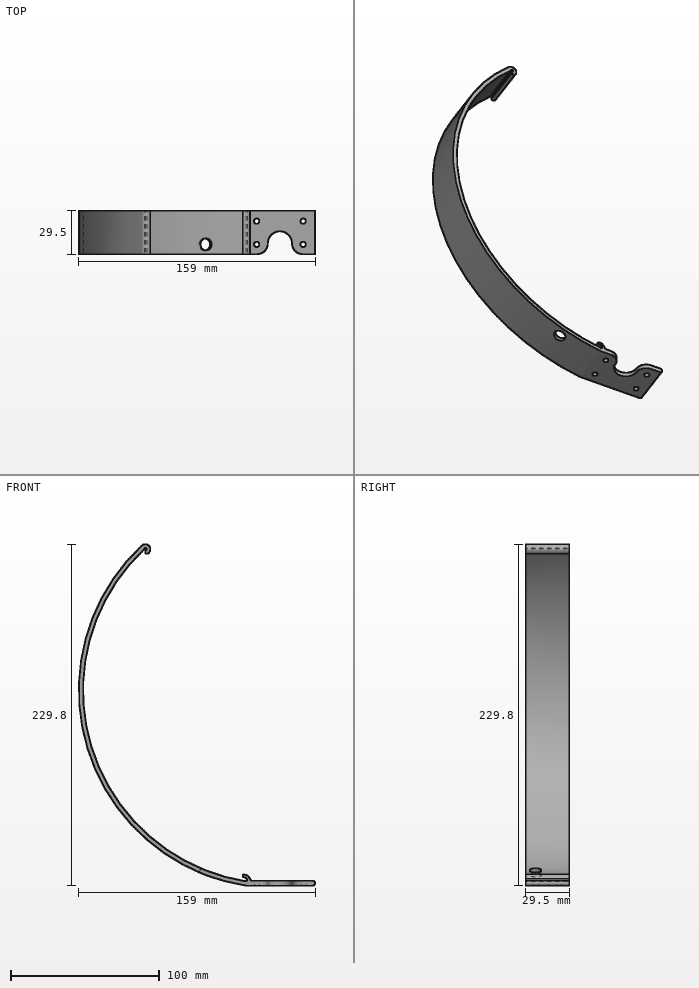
import cadquery as cq
import math

length = 159.0
width = 29.5
height = 229.8

bow_radius = 133.0
bow_center_x = bow_radius
bow_center_z = 131.5
strip_thickness = 3.0
strip_hole_diameter = 8.0
strip_hole_x = 84.5

plate_thickness = 3.5
plate_end_fillet = 1.5
plate_hole_diameter = 3.5
hole_inset = 6.7
hole_spacing_x = 31.2
hole_spacing_y = 15.6
first_hole_x = 119.7
notch_radius = 8.0
notch_corner_radius = 7.4

top_hook_thickness = 2.5
root_hook_thickness = 2.0
top_hook_radius = 3.5
top_hook_end_angle = -60
root_hook_radius = 4.1
root_hook_x = 111.2
root_fillet = 1.4

top_hook_z = height - top_hook_radius
top_hook_distance = bow_radius - top_hook_radius
strip_top_angle = 180 - math.degrees(math.asin((top_hook_z - bow_center_z) / top_hook_distance))


def polar(center, radius, degrees):
    """Point in the XZ plane at an angle measured from +X towards +Z."""
    angle = math.radians(degrees)
    return center[0] + radius * math.cos(angle), center[1] + radius * math.sin(angle)


def extrude_width(sketch):
    """Extrude an XZ outline from Y = 0 across the full width."""
    return sketch.close().extrude(-width)


def angle_on_bow(x):
    """Angle from the +X axis to the point of the outer bow surface at a given X."""
    return math.degrees(math.acos((x - bow_center_x) / bow_radius))


def make_strip():
    center = (bow_center_x, bow_center_z)
    inner_radius = bow_radius - strip_thickness
    root_angle = 180 + math.degrees(math.asin(bow_center_z / bow_radius))
    middle_angle = (strip_top_angle + root_angle) / 2
    sketch = (
        cq.Workplane("XZ")
        .moveTo(*polar(center, bow_radius, root_angle))
        .threePointArc(polar(center, bow_radius, middle_angle), polar(center, bow_radius, strip_top_angle))
        .lineTo(*polar(center, inner_radius, strip_top_angle))
        .threePointArc(polar(center, inner_radius, middle_angle), polar(center, inner_radius, root_angle))
    )
    return extrude_width(sketch)


def make_hook(center, radius, thickness, start_angle, end_angle):
    """Curl from the start angle to a rounded tip at the end angle."""
    inner_radius = radius - thickness
    middle_radius = (radius + inner_radius) / 2
    middle_angle = (start_angle + end_angle) / 2
    turn = math.copysign(1, end_angle - start_angle)
    tip_angle = end_angle + turn * math.degrees(thickness / 2 / middle_radius)
    sketch = (
        cq.Workplane("XZ")
        .moveTo(*polar(center, radius, start_angle))
        .threePointArc(polar(center, radius, middle_angle), polar(center, radius, end_angle))
        .threePointArc(polar(center, middle_radius, tip_angle), polar(center, inner_radius, end_angle))
        .threePointArc(polar(center, inner_radius, middle_angle), polar(center, inner_radius, start_angle))
    )
    return extrude_width(sketch)


def make_plate():
    start_x = bow_center_x - math.sqrt(bow_radius**2 - bow_center_z**2)
    plate = cq.Workplane("XY").box(length - start_x, width, plate_thickness, centered=False)
    plate = plate.edges(">X and |Y").fillet(plate_end_fillet)
    return plate.translate((start_x, 0, 0))


def make_root_fillet():
    """Concave blend between the root hook and the plate."""
    hook_side = root_hook_x + root_hook_radius
    blend_center = (hook_side + root_fillet, plate_thickness + root_fillet)
    sketch = (
        cq.Workplane("XZ")
        .moveTo(hook_side - root_hook_thickness / 2, plate_thickness)
        .lineTo(hook_side + root_fillet, plate_thickness)
        .threePointArc(polar(blend_center, root_fillet, 225), polar(blend_center, root_fillet, 180))
        .lineTo(hook_side - root_hook_thickness / 2, plate_thickness + root_fillet)
    )
    return extrude_width(sketch)


def make_notch():
    """Round-bottomed notch whose mouth flares out to the plate edge."""
    x = first_hole_x + hole_spacing_x / 2
    y = notch_corner_radius
    flare = notch_corner_radius
    half_mouth = notch_radius + flare
    diagonal = flare * (1 - math.sqrt(0.5))
    return (
        cq.Workplane("XY")
        .moveTo(x - half_mouth, 0)
        .threePointArc((x - notch_radius - diagonal, diagonal), (x - notch_radius, y))
        .threePointArc((x, y + notch_radius), (x + notch_radius, y))
        .threePointArc((x + notch_radius + diagonal, diagonal), (x + half_mouth, 0))
        .close()
        .extrude(plate_thickness)
    )


def make_plate_holes():
    places = [
        (first_hole_x + i * hole_spacing_x, hole_inset + j * hole_spacing_y)
        for i in range(2)
        for j in range(2)
    ]
    return cq.Workplane("XY").pushPoints(places).circle(plate_hole_diameter / 2).extrude(plate_thickness)


def make_strip_hole():
    """Cylinder through the strip, square to its surface."""
    angle = -angle_on_bow(strip_hole_x)
    outward = polar((0, 0), 1, angle)
    x, z = polar((bow_center_x, bow_center_z), bow_radius - 2 * strip_thickness, angle)
    start = cq.Vector(x, hole_inset, z)
    direction = cq.Vector(outward[0], 0, outward[1])
    return cq.Workplane(cq.Solid.makeCylinder(strip_hole_diameter / 2, 3 * strip_thickness, start, direction))


top_hook_center = polar((bow_center_x, bow_center_z), top_hook_distance, strip_top_angle)
top_hook = make_hook(top_hook_center, top_hook_radius, top_hook_thickness, strip_top_angle, top_hook_end_angle)
root_hook = make_hook((root_hook_x, plate_thickness), root_hook_radius, root_hook_thickness, 0, 90)

result = make_strip().union(make_plate()).union(top_hook).union(root_hook).union(make_root_fillet())
result = result.cut(make_notch()).cut(make_plate_holes()).cut(make_strip_hole())